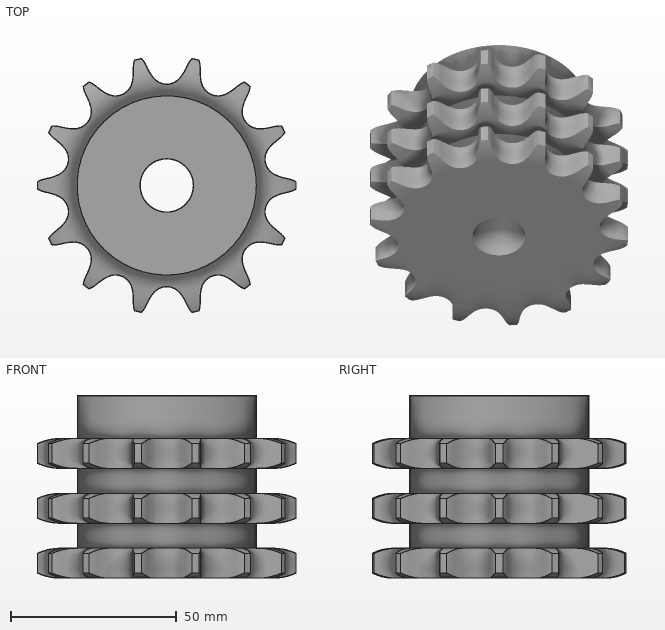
import cadquery as cq
import math


teeth = 14
outside_diameter = 78.0
total_height = 55.0
hub_diameter = 54.0
bore_diameter = 16.0

strands = 3
plate_thickness = 9.05
strand_spacing = 16.5
bevel_start_radius = 32.05
bevel_radius = 16.0

pitch_diameter = 71.4
seat_radius = 5.15
working_radius = 13.25
flat_length = 1.1
topping_radius = 8.5
seat_half_angle = 90 - (35 + 60 / teeth)
working_angle = 18 - 56 / teeth
topping_angle = 25
cutter_margin = 3.9

outside_radius = outside_diameter / 2
tooth_step = 360 / teeth


def offset(point, distance, angle):
    """Point at a distance from another, along an angle in degrees from +X."""
    direction = math.radians(angle)
    return (
        point[0] + distance * math.cos(direction),
        point[1] + distance * math.sin(direction),
    )


def mirrored(point):
    return (point[0], -point[1])


def make_gap_cutter():
    """Space between two teeth, centred on +X and as tall as one plate."""
    seat_center = (pitch_diameter / 2, 0)
    seat_bottom = (seat_center[0] - seat_radius, 0)

    seat_normal = 180 - seat_half_angle
    seat_end = offset(seat_center, seat_radius, seat_normal)

    working_center = offset(seat_end, working_radius, seat_normal + 180)
    working_mid = offset(working_center, working_radius, seat_normal - working_angle / 2)
    working_normal = seat_normal - working_angle
    working_end = offset(working_center, working_radius, working_normal)

    flat_end = offset(working_end, flat_length, working_normal - 90)

    topping_center = offset(flat_end, topping_radius, working_normal)
    topping_normal = working_normal + 180
    topping_mid = offset(topping_center, topping_radius, topping_normal + topping_angle / 2)
    topping_end = offset(topping_center, topping_radius, topping_normal + topping_angle)

    outer_corner = (outside_radius + cutter_margin, topping_end[1])

    return (
        cq.Workplane("XY")
        .moveTo(*outer_corner)
        .lineTo(*topping_end)
        .threePointArc(topping_mid, flat_end)
        .lineTo(*working_end)
        .threePointArc(working_mid, seat_end)
        .threePointArc(seat_bottom, mirrored(seat_end))
        .threePointArc(mirrored(working_mid), mirrored(working_end))
        .lineTo(*mirrored(flat_end))
        .threePointArc(mirrored(topping_mid), mirrored(topping_end))
        .lineTo(*mirrored(outer_corner))
        .close()
        .extrude(plate_thickness)
    )


def bevel_depth(radius):
    """Axial drop of the bevel below the plate face at a given radius."""
    run = radius - bevel_start_radius
    return bevel_radius - math.sqrt(bevel_radius**2 - run**2)


def make_blank():
    """Untoothed disc whose rim is bevelled on both faces by tangent arcs."""
    mid_radius = (bevel_start_radius + outside_radius) / 2
    mid_depth = bevel_depth(mid_radius)
    tip_depth = bevel_depth(outside_radius)
    return (
        cq.Workplane("XZ")
        .lineTo(bevel_start_radius, 0)
        .threePointArc((mid_radius, mid_depth), (outside_radius, tip_depth))
        .lineTo(outside_radius, plate_thickness - tip_depth)
        .threePointArc(
            (mid_radius, plate_thickness - mid_depth),
            (bevel_start_radius, plate_thickness),
        )
        .lineTo(0, plate_thickness)
        .close()
        .revolve(360, (0, 0, 0), (0, 1, 0))
    )


def make_plate():
    """One toothed plate with a tooth pointing along +X."""
    plate = make_blank()
    gap = make_gap_cutter()
    for index in range(teeth):
        angle = (index + 0.5) * tooth_step
        plate = plate.cut(gap.rotate((0, 0, 0), (0, 0, 1), angle))
    return plate


result = cq.Workplane("XY").circle(hub_diameter / 2).extrude(total_height)
toothed_plate = make_plate()
for strand in range(strands):
    result = result.union(toothed_plate.translate((0, 0, strand * strand_spacing)))

bore = cq.Workplane("XY").circle(bore_diameter / 2).extrude(total_height)
result = result.cut(bore)